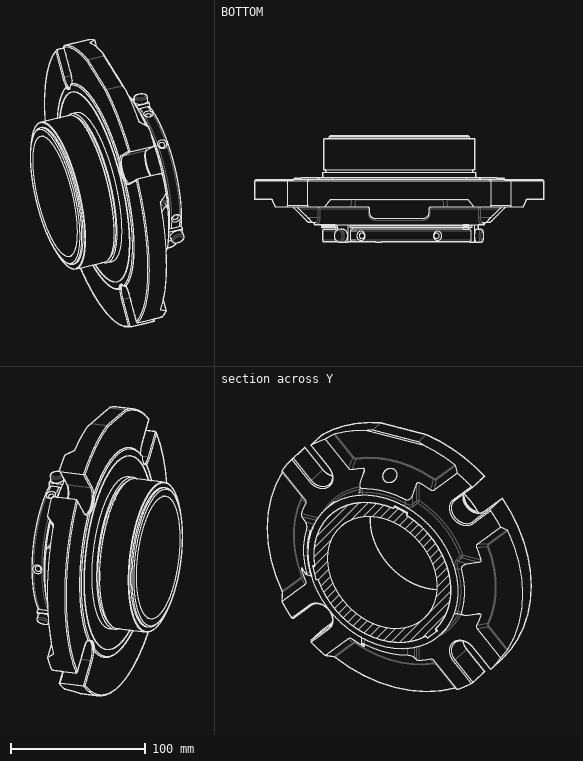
import cadquery as cq
import math


FLANGE_RADIUS = 107.8
RIM_HEIGHT = 14.7
PAD_HEIGHT = 20.5
FLAT_HEIGHT = 106.0
RIM_CHAMFER = 0.9
BACK_CHAMFER = 1.0
PAD_TOP_HALF_WIDTH = 25.9
PAD_BASE_HALF_WIDTH = 31.0
PAD_FILLET = 3.5
RIM_ROOT_FILLET = 1.0

SLOT_WIDTH = 21.0
SLOT_CENTRE_RADIUS = 85.8
SLOT_ANGLES = (45, 135, 225, 315)

OUTER_STEP_DIAMETER = 157.6
OUTER_STEP_HEIGHT = 1.0
OUTER_STEP_CHAMFER = 0.9
INNER_STEP_DIAMETER = 145.5
INNER_STEP_HEIGHT = 1.5

HUB_DIAMETER = 126.8
HUB_HEIGHT = 33.6
CONE_BASE_RADIUS = 85.2
LUG_WIDTH = 44.0
LUG_HEIGHT = 32.0
LOW_LUG_HEIGHT = 29.0
LUG_FILLET = 3.9
HUB_ROOT_FILLET = 1.5
PORT_DIAMETER = 11.2
PORT_HEIGHT = 22.9
PORT_DEPTH = 0.5

BORE_DIAMETER = 92.0
SLEEVE_DIAMETER = 112.8
SLEEVE_FRONT = -32.8
SLEEVE_BACK = 46.4
NOSE_DIAMETER = 104.8
NOSE_LENGTH = 2.2
NOSE_CHAMFER = 1.0
SLEEVE_CHAMFER = 0.5
GROOVE_DIAMETER = 109.8
GROOVE_FRONT = -7.3
GROOVE_BACK = -5.4
SEAT_DIAMETER = 114.3
NECK_DIAMETER = 95.3

WASHER_DIAMETER = 115.8
WASHER_FRONT = 34.5
WASHER_BACK = 35.5

COLLAR_DIAMETER = 114.3
COLLAR_FRONT = 36.9
COLLAR_BACK = 46.4
COLLAR_BEVEL_LENGTH = 1.5
COLLAR_BEVEL_DEPTH = 0.5

SCREW_ANGLES = (0, 60, 90, 120, 180, 240, 300)
SCREW_MOUTH_DIAMETER = 7.1
SCREW_FLOOR_DIAMETER = 4.3
SCREW_DEPTH = 1.5
SCREW_AXIS = 41.8

CLIP_ANGLES = (105, 225, 345)
CLIP_WIDTH = 11.5
CLIP_FRONT = HUB_HEIGHT
CLIP_INNER_RADIUS = 55.0
CLIP_OUTER_RADIUS = 59.5
BOLT_DIAMETER = 10.0
BOLT_OUTER_RADIUS = 64.0
BOLT_FILLET = 1.0

TOLERANCE = 0.002


def ring(diameter, front, back):
    """Solid disc on the Y axis between two Y positions."""
    return cq.Workplane("XZ", origin=(0, front, 0)).circle(diameter / 2).extrude(front - back)


def turn(shape, angle):
    """Turn a shape made on the +X side by an angle from +X towards +Z."""
    return shape.rotate((0, 0, 0), (0, 1, 0), -angle)


def radial_cylinder(diameter, height, inner, outer):
    """Cylinder along X at Y = height, between two distances from the axis."""
    return cq.Workplane("YZ", origin=(inner, height, 0)).circle(diameter / 2).extrude(outer - inner)


def cone_radius(height):
    return CONE_BASE_RADIUS + RIM_HEIGHT - height


def cone_body(height):
    """Disc whose outer face is a 45 degree cone from the rim up to the given height."""
    points = [
        (0, 0),
        (CONE_BASE_RADIUS, 0),
        (CONE_BASE_RADIUS, RIM_HEIGHT),
        (cone_radius(height), height),
        (0, height),
    ]
    return cq.Workplane("XY").polyline(points).close().revolve(360, (0, 0), (0, 1))


def pad_bar(angle):
    """Bar across the flange with sloped sides; its ends are the pads of two opposite slots."""
    slope = (PAD_BASE_HALF_WIDTH - PAD_TOP_HALF_WIDTH) / (PAD_HEIGHT - RIM_HEIGHT)
    foot_half_width = PAD_TOP_HALF_WIDTH + slope * PAD_HEIGHT
    bar = (
        cq.Workplane("YZ")
        .polyline([
            (0, -foot_half_width),
            (0, foot_half_width),
            (PAD_HEIGHT, PAD_TOP_HALF_WIDTH),
            (PAD_HEIGHT, -PAD_TOP_HALF_WIDTH),
        ])
        .close()
        .extrude(FLANGE_RADIUS * 2, both=True)
    )
    return turn(bar, angle).intersect(ring(2 * FLANGE_RADIUS, RIM_HEIGHT - 2.2, PAD_HEIGHT))


def radial_slot(width, start):
    """Sketch in the plane Y = start of a slot that runs from its round end past the rim."""
    return (
        cq.Workplane("XZ", origin=(0, start, 0))
        .center(SLOT_CENTRE_RADIUS + FLANGE_RADIUS / 2, 0)
        .slot2D(FLANGE_RADIUS + width, width)
    )


def slot_cutter():
    """Slot through the flange and front steps, with a chamfered back edge."""
    front = -INNER_STEP_HEIGHT
    slot = radial_slot(SLOT_WIDTH, front).extrude(front - PAD_HEIGHT)
    flare = radial_slot(SLOT_WIDTH + 2 * BACK_CHAMFER, PAD_HEIGHT).extrude(BACK_CHAMFER, taper=45)
    return slot.union(flare)


def cut_slots(shape):
    for angle in SLOT_ANGLES:
        shape = shape.cut(turn(slot_cutter(), angle))
    return shape


def distance_from_axis(point):
    return math.hypot(point.x, point.z)


def is_pad_corner(edge):
    """True where the sloped side of a pad meets the cone."""
    centre = edge.Center()
    return (
        edge.geomType() not in ("CIRCLE", "LINE")
        and RIM_HEIGHT < centre.y < PAD_HEIGHT
        and distance_from_axis(centre) < SLOT_CENTRE_RADIUS
    )


def is_rim_root(edge):
    """True where the cone or a pad meets the rim."""
    ends = (edge.startPoint(), edge.endPoint())
    on_rim = all(abs(end.y - RIM_HEIGHT) < TOLERANCE for end in ends)
    return on_rim and any(distance_from_axis(end) < FLANGE_RADIUS - TOLERANCE for end in ends)


def fillet_where(shape, is_wanted, radius):
    edges = [edge for edge in shape.edges().vals() if is_wanted(edge)]
    return shape.newObject(edges).fillet(radius)


def make_flange():
    flange = ring(2 * FLANGE_RADIUS, 0, RIM_HEIGHT).union(cone_body(PAD_HEIGHT))
    for angle in (45, 135):
        flange = flange.union(pad_bar(angle))
    flange = fillet_where(flange, is_pad_corner, PAD_FILLET)
    flange = fillet_where(flange, is_rim_root, RIM_ROOT_FILLET)
    above_flat = (
        cq.Workplane("XY", origin=(0, 0, FLAT_HEIGHT))
        .rect(2 * FLANGE_RADIUS, 2 * FLANGE_RADIUS)
        .extrude(FLANGE_RADIUS)
    )
    flange = flange.cut(above_flat)
    flange = flange.faces(">Z").edges(">Y").chamfer(BACK_CHAMFER)
    return cut_slots(flange).faces("<Y").edges().chamfer(RIM_CHAMFER)


def make_front_steps():
    outer = ring(OUTER_STEP_DIAMETER, -OUTER_STEP_HEIGHT, 0).faces("<Y").chamfer(OUTER_STEP_CHAMFER)
    return cut_slots(outer.union(ring(INNER_STEP_DIAMETER, -INNER_STEP_HEIGHT, 0)))


def lug(angle, height):
    bar = (
        cq.Workplane("XY")
        .box(FLANGE_RADIUS, height, LUG_WIDTH, centered=(False, False, True))
        .edges("|X and >Y")
        .fillet(LUG_FILLET)
    )
    return turn(bar, angle).intersect(cone_body(height))


def is_hub_root(edge):
    """True where the hub meets a lug or the shelf, or a lug flank meets the shelf."""
    ends = (edge.startPoint(), edge.endPoint())
    on_hub = all(
        abs(distance_from_axis(end) - HUB_DIAMETER / 2) < TOLERANCE
        and PAD_HEIGHT - TOLERANCE < end.y < HUB_HEIGHT - TOLERANCE
        for end in ends
    )
    on_shelf = all(abs(end.y - PAD_HEIGHT) < TOLERANCE for end in ends)
    beside_lug = edge.geomType() == "LINE" and distance_from_axis(edge.Center()) < cone_radius(PAD_HEIGHT)
    return on_hub or (on_shelf and beside_lug)


def add_hub(flange):
    body = flange.union(ring(HUB_DIAMETER, 0, HUB_HEIGHT))
    for angle in (0, 90, 180):
        body = body.union(lug(angle, LUG_HEIGHT))
    body = body.union(lug(270, LOW_LUG_HEIGHT))
    return fillet_where(body, is_hub_root, HUB_ROOT_FILLET).cut(port())


def port():
    """Shallow round recess square to the cone face of the +Z lug."""
    centre = (0, PORT_HEIGHT, cone_radius(PORT_HEIGHT))
    plane = cq.Plane(origin=centre, xDir=(1, 0, 0), normal=(0, 1, 1))
    return cq.Workplane(plane).circle(PORT_DIAMETER / 2).extrude(PORT_DEPTH, both=True)


def make_sleeve():
    nose_back = SLEEVE_FRONT + NOSE_LENGTH
    nose = ring(NOSE_DIAMETER, SLEEVE_FRONT, nose_back).faces("<Y").chamfer(NOSE_CHAMFER)
    body = ring(SLEEVE_DIAMETER, nose_back, GROOVE_FRONT).faces("<Y").chamfer(SLEEVE_CHAMFER)
    return (
        nose
        .union(body)
        .union(ring(GROOVE_DIAMETER, GROOVE_FRONT, GROOVE_BACK))
        .union(ring(SEAT_DIAMETER, GROOVE_BACK, 0))
        .union(ring(NECK_DIAMETER, 0, SLEEVE_BACK))
    )


def screw_recess():
    """Cone that narrows from the collar surface to the flat end of a set screw."""
    floor_radius = SCREW_FLOOR_DIAMETER / 2
    mouth_radius = SCREW_MOUTH_DIAMETER / 2
    inner = COLLAR_DIAMETER / 2 - SCREW_DEPTH
    cone = cq.Solid.makeCone(
        floor_radius, mouth_radius, SCREW_DEPTH,
        pnt=cq.Vector(inner, SCREW_AXIS, 0), dir=cq.Vector(1, 0, 0),
    )
    return cq.Workplane(cone)


def make_collar():
    radius = COLLAR_DIAMETER / 2
    bevel_radius = radius - COLLAR_BEVEL_DEPTH
    collar = (
        cq.Workplane("XY")
        .polyline([
            (0, COLLAR_FRONT),
            (bevel_radius, COLLAR_FRONT),
            (radius, COLLAR_FRONT + COLLAR_BEVEL_LENGTH),
            (radius, COLLAR_BACK - COLLAR_BEVEL_LENGTH),
            (bevel_radius, COLLAR_BACK),
            (0, COLLAR_BACK),
        ])
        .close()
        .revolve(360, (0, 0), (0, 1))
    )
    for angle in SCREW_ANGLES:
        collar = collar.cut(turn(screw_recess(), angle))
    return collar


def clip(angle):
    body = (
        cq.Workplane("XY", origin=(CLIP_INNER_RADIUS, CLIP_FRONT, 0))
        .box(CLIP_OUTER_RADIUS - CLIP_INNER_RADIUS, COLLAR_BACK - CLIP_FRONT, CLIP_WIDTH,
             centered=(False, False, True))
    )
    bolt = (
        radial_cylinder(BOLT_DIAMETER, SCREW_AXIS, CLIP_INNER_RADIUS, BOLT_OUTER_RADIUS)
        .faces(">X").edges().fillet(BOLT_FILLET)
    )
    return turn(body.union(bolt), angle)


result = add_hub(make_flange()).union(make_front_steps())
result = result.union(make_sleeve())
result = result.union(ring(WASHER_DIAMETER, WASHER_FRONT, WASHER_BACK))
result = result.union(make_collar())
for clip_angle in CLIP_ANGLES:
    result = result.union(clip(clip_angle))
result = result.cut(ring(BORE_DIAMETER, SLEEVE_FRONT, SLEEVE_BACK))